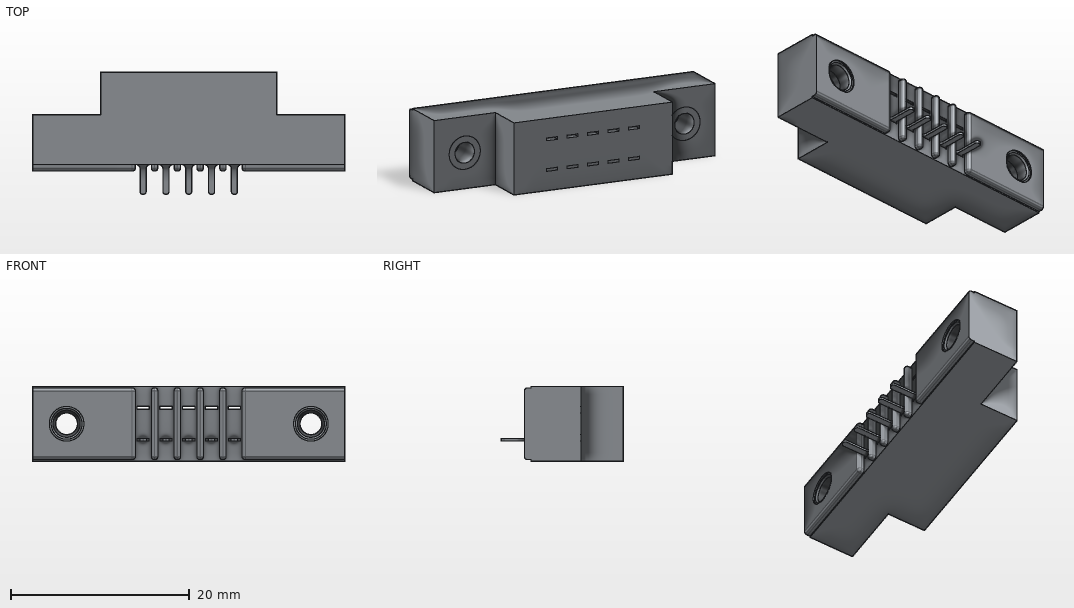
import cadquery as cq
import math

length = 34.92
height = 8.38
core_length = 19.7
flange_rear = -4.75
core_front = -10.35
pad_front = -11.07
contact_tip = -13.65

pad_gap = 11.9
raised_inset = 0.17
raised_height = height - 2 * raised_inset
pad_edge_radius = 0.4
rib_width = 0.75
rib_edge_radius = 0.35

contact_count = 5
pitch = 2.55
contact_xs = [(i - (contact_count - 1) / 2) * pitch for i in range(contact_count)]
rib_xs = [(a + b) / 2 for a, b in zip(contact_xs, contact_xs[1:])]

row_offset = 1.78
slot_width = 1.35
slot_height = 0.3

tail_width = 0.7
tail_tip_radius = 0.3
neck_radius = 0.5
neck_step = (slot_width - tail_width) / 2
neck_length = math.sqrt(neck_radius**2 - (neck_radius - neck_step) ** 2)

mount_offset = 13.65
insert_diameter = 3.88
insert_recess = 0.17
rim_diameter = 3.45
throat_diameter = 3.05
bore_diameter = 2.4
throat_length = 1.43
taper_length = 0.55
chamfer_depth = (rim_diameter - throat_diameter) / 2
insert_front = pad_front + insert_recess


def box_between(x0, x1, y0, y1, z_size):
    """Box spanning the given X and Y limits, centred on Z = 0."""
    box = cq.Workplane("XY").box(x1 - x0, y1 - y0, z_size)
    return box.translate(((x0 + x1) / 2, (y0 + y1) / 2, 0))


def make_end_pad():
    """Left end pad, rounded everywhere except on the outer end of the bar."""
    pad = box_between(-length / 2, -pad_gap / 2, pad_front, core_front, raised_height)
    return pad.edges("(<Y or >X) and (not <X) and (not >Y)").fillet(pad_edge_radius)


def make_rib():
    """Upright rib at X = 0 with rounded front and ends."""
    rib = box_between(-rib_width / 2, rib_width / 2, pad_front, core_front, raised_height)
    return rib.edges("|Y or <Y").fillet(rib_edge_radius)


def make_housing():
    flanges = box_between(-length / 2, length / 2, core_front, flange_rear, height)
    core = box_between(-core_length / 2, core_length / 2, core_front, 0, height)
    housing = flanges.union(core)

    left_pad = make_end_pad()
    housing = housing.union(left_pad).union(left_pad.mirror("YZ"))

    rib = make_rib()
    for x in rib_xs:
        housing = housing.union(rib.translate((x, 0, 0)))

    slot = box_between(-slot_width / 2, slot_width / 2, core_front, 0, slot_height)
    for x in contact_xs:
        for z in (row_offset, -row_offset):
            housing = housing.cut(slot.translate((x, 0, z)))

    insert_hole = (
        cq.Workplane("XZ", origin=(0, flange_rear, 0))
        .pushPoints([(-mount_offset, 0), (mount_offset, 0)])
        .circle(insert_diameter / 2)
        .extrude(flange_rear - pad_front)
    )
    return housing.cut(insert_hole)


def make_contact(x):
    """Flat contact that fills its lower slot and narrows to a round-cornered tail."""
    half_slot = slot_width / 2
    half_tail = tail_width / 2
    neck_end = core_front - neck_length
    blade = (
        cq.Workplane("XY")
        .moveTo(-half_slot, 0)
        .lineTo(-half_slot, core_front)
        .radiusArc((-half_tail, neck_end), neck_radius)
        .lineTo(-half_tail, contact_tip)
        .lineTo(half_tail, contact_tip)
        .lineTo(half_tail, neck_end)
        .radiusArc((half_slot, core_front), neck_radius)
        .lineTo(half_slot, 0)
        .close()
        .extrude(slot_height / 2, both=True)
    )
    blade = blade.edges("|Z and <Y").fillet(tail_tip_radius)
    return blade.translate((x, 0, -row_offset))


def make_insert(x):
    """Sleeve lining a mounting hole, revolved about its axis along Y."""
    throat_start = insert_front + chamfer_depth
    throat_end = throat_start + throat_length
    sleeve = (
        cq.Workplane("XY")
        .moveTo(insert_diameter / 2, flange_rear)
        .lineTo(insert_diameter / 2, insert_front)
        .lineTo(rim_diameter / 2, insert_front)
        .lineTo(throat_diameter / 2, throat_start)
        .lineTo(throat_diameter / 2, throat_end)
        .lineTo(bore_diameter / 2, throat_end + taper_length)
        .lineTo(bore_diameter / 2, flange_rear)
        .close()
        .revolve(360, (0, 0, 0), (0, 1, 0))
    )
    return sleeve.translate((x, 0, 0))


housing = make_housing()
contacts = [make_contact(x) for x in contact_xs]
inserts = [make_insert(x) for x in (-mount_offset, mount_offset)]

result = cq.Compound.makeCompound(
    [
        housing.val(),
        *[contact.val() for contact in contacts],
        *[insert.val() for insert in inserts],
    ]
)